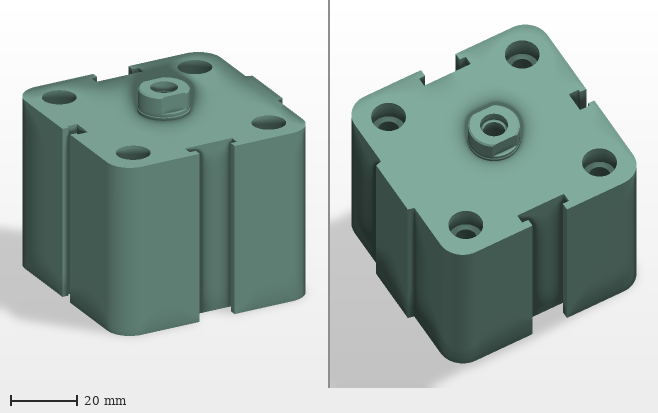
import cadquery as cq

BLOCK_SIDE = 67.0
BLOCK_HEIGHT = 55.5
CORNER_RADIUS = 7.7
BLIND_BORE_DEPTH = 14.5

RAIL_HEIGHT = 2.0
RAIL_BASE_WIDTH = 20.0
RAIL_TOP_WIDTH = 19.0

SLOT_DEPTH = 5.5
SIDE_SLOT_MOUTH = 12.0
SIDE_SLOT_WIDTH = 16.2
SIDE_SLOT_LIP = 2.5
FRONT_SLOT_MOUTH = 4.8
FRONT_SLOT_WIDTH = 6.75
FRONT_SLOT_LIP = 2.15

MOUNT_PITCH = 46.5
MOUNT_BORE_DIAMETER = 6.6
MOUNT_COUNTERBORE_DIAMETER = 10.5
MOUNT_COUNTERBORE_DEPTH = 6.8

ROD_DIAMETER = 16.0
ROD_COLLAR_HEIGHT = 1.05
ROD_HEAD_DIAMETER = 15.6
ROD_PROTRUSION = 7.5
ROD_TIP_CHAMFER = 0.5
FLATS_WIDTH = 13.0
FLATS_START = 2.0
ROD_HOLE_DIAMETER = 6.6
ROD_HOLE_DEPTH = 13.8
ROD_COUNTERBORE_DIAMETER = 8.4
ROD_COUNTERBORE_DEPTH = 3.05

HALF_SIDE = BLOCK_SIDE / 2
ROD_BOTTOM = BLOCK_HEIGHT - BLIND_BORE_DEPTH
ROD_TOP = BLOCK_HEIGHT + ROD_PROTRUSION


def make_rail():
    """Trapezoidal rail on the +Y face."""
    crest = HALF_SIDE + RAIL_HEIGHT
    outline = [
        (-RAIL_BASE_WIDTH / 2, HALF_SIDE),
        (RAIL_BASE_WIDTH / 2, HALF_SIDE),
        (RAIL_TOP_WIDTH / 2, crest),
        (-RAIL_TOP_WIDTH / 2, crest),
    ]
    return cq.Workplane("XY").polyline(outline).close().extrude(BLOCK_HEIGHT)


def make_t_slot(mouth, width, lip, angle):
    """T-slot cutter for the -Y face, turned about Z by the angle in degrees."""
    undercut = SLOT_DEPTH - lip
    opening = (
        cq.Workplane("XY")
        .center(0, -HALF_SIDE + lip / 2)
        .rect(mouth, lip)
        .extrude(BLOCK_HEIGHT)
    )
    channel = (
        cq.Workplane("XY")
        .center(0, -HALF_SIDE + lip + undercut / 2)
        .rect(width, undercut)
        .extrude(BLOCK_HEIGHT)
    )
    return opening.union(channel).rotate((0, 0, 0), (0, 0, 1), angle)


def make_housing():
    """Block with rail, T-slots, corner holes and the blind bore for the rod."""
    housing = (
        cq.Workplane("XY")
        .rect(BLOCK_SIDE, BLOCK_SIDE)
        .extrude(BLOCK_HEIGHT)
        .edges("|Z")
        .fillet(CORNER_RADIUS)
        .union(make_rail())
    )

    housing = housing.cut(make_t_slot(FRONT_SLOT_MOUTH, FRONT_SLOT_WIDTH, FRONT_SLOT_LIP, 0))
    for angle in (-90, 90):
        housing = housing.cut(make_t_slot(SIDE_SLOT_MOUTH, SIDE_SLOT_WIDTH, SIDE_SLOT_LIP, angle))

    top = cq.Workplane("XY").workplane(offset=BLOCK_HEIGHT)
    mount_centres = top.rect(MOUNT_PITCH, MOUNT_PITCH, forConstruction=True).vertices()
    mount_bores = mount_centres.circle(MOUNT_BORE_DIAMETER / 2).extrude(-BLIND_BORE_DEPTH)
    counterbores = mount_centres.circle(MOUNT_COUNTERBORE_DIAMETER / 2).extrude(-MOUNT_COUNTERBORE_DEPTH)
    rod_bore = top.circle(ROD_DIAMETER / 2).extrude(-BLIND_BORE_DEPTH)
    return housing.cut(mount_bores).cut(counterbores).cut(rod_bore)


def make_rod():
    """Turned rod with a stepped head, two wrench flats and a counterbored blind hole."""
    radius = ROD_DIAMETER / 2
    head_radius = ROD_HEAD_DIAMETER / 2
    collar_top = BLOCK_HEIGHT + ROD_COLLAR_HEIGHT
    collar_chamfer = radius - head_radius
    profile = [
        (0, ROD_BOTTOM),
        (radius, ROD_BOTTOM),
        (radius, collar_top - collar_chamfer),
        (head_radius, collar_top),
        (head_radius, ROD_TOP - ROD_TIP_CHAMFER),
        (head_radius - ROD_TIP_CHAMFER, ROD_TOP),
        (0, ROD_TOP),
    ]
    rod = cq.Workplane("XZ").polyline(profile).close().revolve(360, (0, 0), (0, 1))

    flat_centre = (FLATS_WIDTH + ROD_DIAMETER) / 2
    flats = (
        cq.Workplane("XY")
        .workplane(offset=BLOCK_HEIGHT + FLATS_START)
        .pushPoints([(-flat_centre, 0), (flat_centre, 0)])
        .rect(ROD_DIAMETER, ROD_DIAMETER)
        .extrude(ROD_PROTRUSION)
    )
    rod = rod.cut(flats)

    tip = cq.Workplane("XY").workplane(offset=ROD_TOP)
    hole = tip.circle(ROD_HOLE_DIAMETER / 2).extrude(-ROD_HOLE_DEPTH)
    counterbore = tip.circle(ROD_COUNTERBORE_DIAMETER / 2).extrude(-ROD_COUNTERBORE_DEPTH)
    return rod.cut(hole).cut(counterbore)


housing = make_housing()
rod = make_rod()

result = cq.Compound.makeCompound([housing.val(), rod.val()])